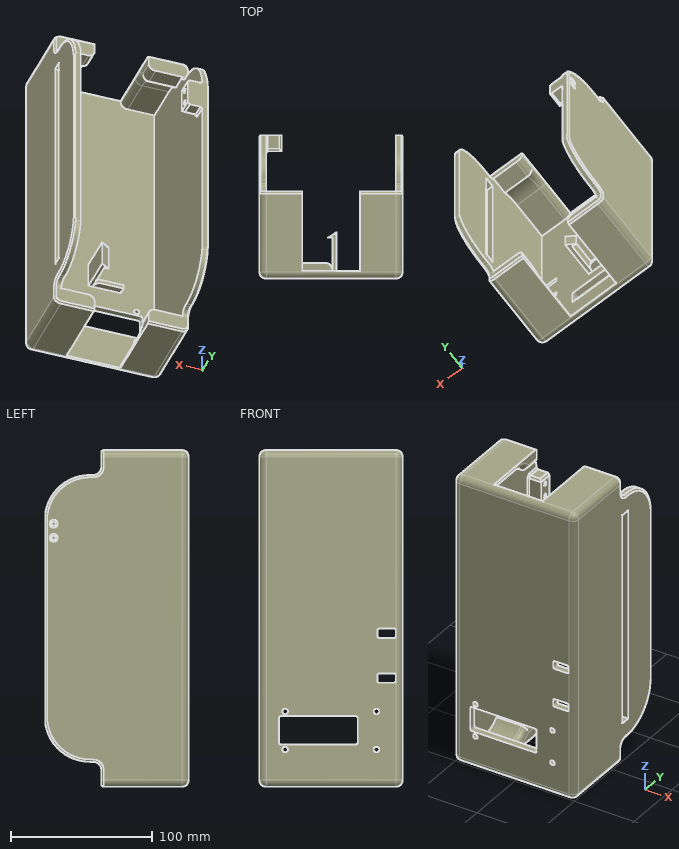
import cadquery as cq
import math

WIDTH = 101.7
DEPTH = 101.7
HEIGHT = 238.8
SIDE_WALL = 5.0
FRONT_WALL = 5.5
EDGE_RADIUS = 5.0
TOLERANCE = 0.02
RIM_CHAMFER_IN = 1.8
RIM_CHAMFER_SIDE = 1.07

PLATE_DEPTH = 62.0
EAR_INSET = 17.7
EAR_RADIUS = 32.2
EAR_TRIM = 0.5
EAR_ROOT_RADIUS = 5.5

PLATE_THIN = 6.0
PLATE_THICK = 12.5
PLATE_THIN_END = 34.9
PLATE_CURVE_DIAMETER = 36.0
PLATE_CURVE_RADIUS = PLATE_CURVE_DIAMETER / 2
NOTCH_LEFT = 30.5
NOTCH_RIGHT = 71.5
NOTCH_EDGE_RADIUS = 5.0

DISPLAY_CORNER_RADIUS = 1.5
DISPLAY_LEFT = 14.0
DISPLAY_BOTTOM = 30.0
DISPLAY_WIDTH = 55.6
DISPLAY_HEIGHT = 20.0
DISPLAY_HOLE_DIAMETER = 3.8
DISPLAY_HOLE_LEFT = 18.5
DISPLAY_HOLE_BOTTOM = 26.5
DISPLAY_HOLE_SPACING_X = 64.7
DISPLAY_HOLE_SPACING_Z = 27.0
VENT_LENGTH = 13.0
VENT_HEIGHT = 6.5
VENT_CORNER_RADIUS = 1.2
VENT_CENTERS_Z = (77.1, 108.9)

WALL_SLOT_WIDTH = 7.6
WALL_SLOT_Y = 66.9
WALL_SLOT_INSET = 32.2

BLOCK_WIDTH = 11.0
BLOCK_DEPTH = 11.5
BLOCK_EDGE = 1.7
BLOCK_ROOT = 1.2
SCREW_CENTERS_Z = (176.5, 186.5)
SCREW_Y = 95.7
BLOCK_MARGIN_Z = 5.7
SCREW_DIAMETER = 3.0
SCREW_HEAD_DIAMETER = 5.7

CLIP_LEFT = 51.8
CLIP_THICKNESS = 3.0
CLIP_TIP_Y = 33.0
CLIP_HOOK_Y = 29.0
CLIP_HOOK_REACH = 3.3
CLIP_BOTTOM = 66.9
CLIP_HEIGHT = 19.0
RIB_LEFT = 30.5
RIB_REAR_Y = 11.2
RIB_HEIGHT = 3.0
RIB_CORNER_RADIUS = 4.8


def box(x0, x1, y0, y1, z0, z1):
    return cq.Workplane("XY").box(x1 - x0, y1 - y0, z1 - z0, centered=False).translate((x0, y0, z0))


def mirrored_in_z(shape):
    """Copy a feature of the bottom end to the top end."""
    return shape.mirror("XY", (0, 0, HEIGHT / 2))


def side_outline():
    """Housing outline in the YZ plane, extruded over the full width."""
    ear_low = EAR_INSET
    ear_high = HEIGHT - EAR_INSET
    root_y = PLATE_DEPTH + EAR_ROOT_RADIUS
    root_mid = EAR_ROOT_RADIUS * (1 - math.sqrt(0.5))
    rear_y = DEPTH + EAR_TRIM
    ear_y = rear_y - EAR_RADIUS
    ear_mid = EAR_RADIUS * (1 - math.sqrt(0.5))
    return (
        cq.Workplane("YZ")
        .moveTo(0, 0)
        .lineTo(PLATE_DEPTH, 0)
        .lineTo(PLATE_DEPTH, ear_low - EAR_ROOT_RADIUS)
        .threePointArc((PLATE_DEPTH + root_mid, ear_low - root_mid), (root_y, ear_low))
        .lineTo(ear_y, ear_low)
        .threePointArc((rear_y - ear_mid, ear_low + ear_mid), (rear_y, ear_low + EAR_RADIUS))
        .lineTo(rear_y, ear_high - EAR_RADIUS)
        .threePointArc((rear_y - ear_mid, ear_high - ear_mid), (ear_y, ear_high))
        .lineTo(root_y, ear_high)
        .threePointArc(
            (PLATE_DEPTH + root_mid, ear_high + root_mid), (PLATE_DEPTH, ear_high + EAR_ROOT_RADIUS)
        )
        .lineTo(PLATE_DEPTH, HEIGHT)
        .lineTo(0, HEIGHT)
        .close()
        .extrude(WIDTH)
    )


def is_rear_rim(edge):
    """True for edges at or behind the plate rear that lie on an outer face of the box."""
    bounds = edge.BoundingBox()
    on_side = bounds.xmax < TOLERANCE or bounds.xmin > WIDTH - TOLERANCE
    on_end = bounds.zmax < TOLERANCE or bounds.zmin > HEIGHT - TOLERANCE
    on_box_corner = bounds.ylen < TOLERANCE and edge.geomType() == "CIRCLE"
    return bounds.ymin > PLATE_DEPTH - TOLERANCE and (on_side or on_end or on_box_corner)


def outer_body():
    rounded_box = box(0, WIDTH, 0, 2 * DEPTH, 0, HEIGHT).edges("|Y or <Y").fillet(EDGE_RADIUS)
    body = rounded_box.intersect(side_outline())
    body = body.edges().filter(is_rear_rim).chamfer(RIM_CHAMFER_IN, RIM_CHAMFER_SIDE)
    return body.intersect(box(0, WIDTH, 0, DEPTH, 0, HEIGHT))


def cavity():
    """Inner space between the walls; the end plates swell toward the rear."""
    curve_rise = PLATE_THICK - PLATE_THIN
    curve_angle = math.acos(1 - curve_rise / PLATE_CURVE_RADIUS)

    def curve_point(angle):
        y = PLATE_THIN_END + PLATE_CURVE_RADIUS * math.sin(angle)
        return (y, PLATE_THIN + PLATE_CURVE_RADIUS * (1 - math.cos(angle)))

    middle = HEIGHT / 2
    lower_half = (
        cq.Workplane("YZ", origin=(SIDE_WALL, 0, 0))
        .moveTo(FRONT_WALL, middle)
        .lineTo(FRONT_WALL, PLATE_THIN)
        .lineTo(PLATE_THIN_END, PLATE_THIN)
        .threePointArc(curve_point(curve_angle / 2), curve_point(curve_angle))
        .lineTo(PLATE_DEPTH, PLATE_THICK)
        .lineTo(PLATE_DEPTH, 0)
        .lineTo(DEPTH, 0)
        .lineTo(DEPTH, middle)
        .close()
        .extrude(WIDTH - 2 * SIDE_WALL)
    )
    return lower_half.union(mirrored_in_z(lower_half))


def is_notch_inner_edge(edge):
    """True for the cavity-side edges along the two flanks of the notch."""
    center = edge.Center()
    bounds = edge.BoundingBox()
    flank_distance = min(abs(center.x - NOTCH_LEFT), abs(center.x - NOTCH_RIGHT))
    on_flank = bounds.xlen < TOLERANCE and flank_distance < TOLERANCE
    end_distance = min(center.z, HEIGHT - center.z)
    return on_flank and bounds.ylen > TOLERANCE and end_distance > PLATE_THIN - TOLERANCE


def hollow_shell():
    shell = outer_body().cut(cavity())
    shell = shell.cut(box(NOTCH_LEFT, NOTCH_RIGHT, FRONT_WALL, DEPTH, 0, HEIGHT))
    return shell.edges().filter(is_notch_inner_edge).fillet(NOTCH_EDGE_RADIUS)


def front_opening(x0, z0, width, height, corner_radius):
    opening = box(x0, x0 + width, 0, FRONT_WALL, z0, z0 + height)
    return opening.edges("|Y").fillet(corner_radius)


def front_openings():
    openings = front_opening(
        DISPLAY_LEFT, DISPLAY_BOTTOM, DISPLAY_WIDTH, DISPLAY_HEIGHT, DISPLAY_CORNER_RADIUS
    )
    vent_left = WIDTH - SIDE_WALL - VENT_LENGTH
    for z in VENT_CENTERS_Z:
        vent = front_opening(
            vent_left, z - VENT_HEIGHT / 2, VENT_LENGTH, VENT_HEIGHT, VENT_CORNER_RADIUS
        )
        openings = openings.union(vent)
    for x in (DISPLAY_HOLE_LEFT, DISPLAY_HOLE_LEFT + DISPLAY_HOLE_SPACING_X):
        for z in (DISPLAY_HOLE_BOTTOM, DISPLAY_HOLE_BOTTOM + DISPLAY_HOLE_SPACING_Z):
            hole = cq.Solid.makeCylinder(
                DISPLAY_HOLE_DIAMETER / 2, FRONT_WALL, cq.Vector(x, 0, z), cq.Vector(0, 1, 0)
            )
            openings = openings.union(cq.Workplane(hole))
    return openings


def right_wall_slot():
    y0 = WALL_SLOT_Y - WALL_SLOT_WIDTH / 2
    z1 = HEIGHT - WALL_SLOT_INSET
    return box(WIDTH - SIDE_WALL, WIDTH, y0, y0 + WALL_SLOT_WIDTH, WALL_SLOT_INSET, z1)


def screw_block():
    block = box(
        SIDE_WALL,
        SIDE_WALL + BLOCK_WIDTH,
        DEPTH - BLOCK_DEPTH,
        DEPTH,
        SCREW_CENTERS_Z[0] - BLOCK_MARGIN_Z,
        SCREW_CENTERS_Z[1] + BLOCK_MARGIN_Z,
    )
    return block.faces("|Z").edges("<Y or >X").chamfer(BLOCK_EDGE)


def screw_holes():
    """Counterbored holes through the left wall and the screw block."""
    radius = SCREW_DIAMETER / 2
    head_radius = SCREW_HEAD_DIAMETER / 2
    along_x = cq.Vector(1, 0, 0)
    holes = cq.Workplane()
    for z in SCREW_CENTERS_Z:
        start = cq.Vector(0, SCREW_Y, z)
        shank = cq.Solid.makeCylinder(radius, SIDE_WALL + BLOCK_WIDTH, start, along_x)
        head = cq.Solid.makeCylinder(head_radius, SIDE_WALL, start, along_x)
        holes = holes.add(shank.fuse(head))
    return holes.combine()


def snap_clip():
    """Upright plate with a hooked tip pointing to -X."""
    right = CLIP_LEFT + CLIP_THICKNESS
    return (
        cq.Workplane("XY", origin=(0, 0, CLIP_BOTTOM))
        .moveTo(CLIP_LEFT, EDGE_RADIUS)
        .lineTo(CLIP_LEFT, CLIP_HOOK_Y)
        .lineTo(CLIP_LEFT - CLIP_HOOK_REACH, CLIP_HOOK_Y)
        .lineTo(right, CLIP_TIP_Y)
        .lineTo(right, EDGE_RADIUS)
        .close()
        .extrude(CLIP_HEIGHT)
    )


def support_rib():
    rib = box(RIB_LEFT, CLIP_LEFT, EDGE_RADIUS, RIB_REAR_Y, CLIP_BOTTOM, CLIP_BOTTOM + RIB_HEIGHT)
    return rib.edges("|Z and >X and >Y").fillet(RIB_CORNER_RADIUS)


def is_block_root(edge):
    """True for the edges where the screw block meets the left wall."""
    bounds = edge.BoundingBox()
    on_wall = bounds.xlen < TOLERANCE and abs(bounds.xmin - SIDE_WALL) < TOLERANCE
    above_bottom = bounds.zmin > SCREW_CENTERS_Z[0] - BLOCK_MARGIN_Z - TOLERANCE
    below_top = bounds.zmax < SCREW_CENTERS_Z[1] + BLOCK_MARGIN_Z + TOLERANCE
    behind_front = bounds.ymin > DEPTH - BLOCK_DEPTH - TOLERANCE
    at_rear = bounds.ymin > DEPTH - TOLERANCE
    return on_wall and above_bottom and below_top and behind_front and not at_rear


housing = hollow_shell().cut(front_openings()).cut(right_wall_slot())
housing = housing.union(screw_block())
housing = housing.edges().filter(is_block_root).chamfer(BLOCK_ROOT)
housing = housing.cut(screw_holes())
result = housing.union(snap_clip()).union(support_rib())